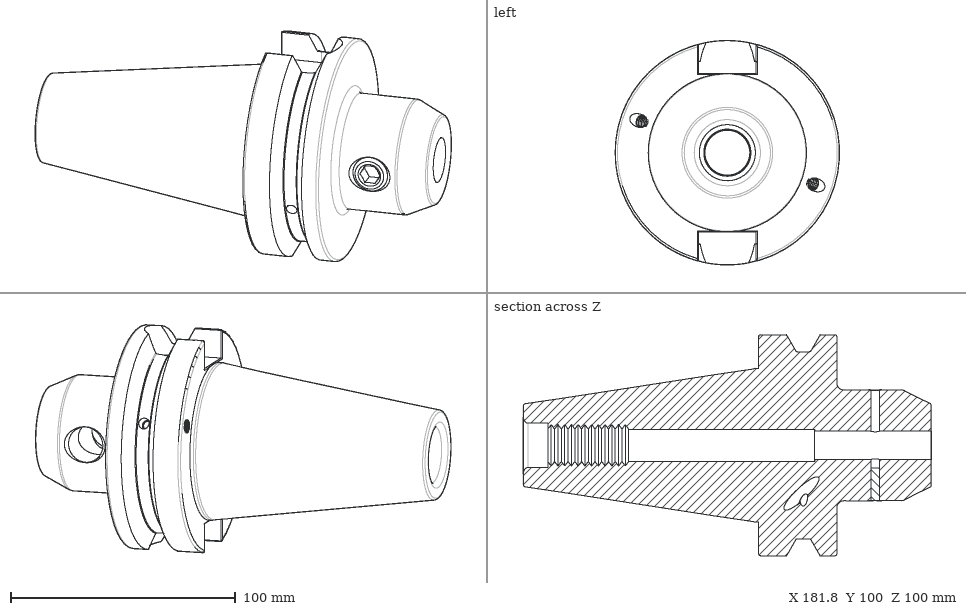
import cadquery as cq
import math


taper_length = 101.8
gauge_radius = 69.85 / 2
taper_ratio = 7 / 24
small_end_radius = gauge_radius - taper_length * taper_ratio / 2
shank_end = -taper_length
shank_edge_radius = 1.0
taper_overrun = 0.4
collar_start = 1.4
collar_radius = 35.25

flange_front = 3.0
flange_back = 38.0
flange_radius = 50.0
flange_edge_radius = 1.0
groove_floor_radius = 42.5
groove_centre = 23.0
groove_floor_width = 6.2
groove_corner_radius = 0.5
groove_wall_angle = math.radians(30)
groove_wall_run = (flange_radius - groove_floor_radius) * math.tan(groove_wall_angle)

slot_width = 25.7
slot_floor = 35.3
slot_end = 34.6
slot_chamfer = 0.5

nose_end = 80.0
nose_radius = 26.0
nose_root_radius = 3.0
nose_cone_start = 67.3
nose_cone_angle = math.radians(25)
nose_shoulder_blend = 2.3
nose_edge_radius = 1.0
nose_tip_radius = nose_radius - (nose_end - nose_cone_start) * math.tan(nose_cone_angle)

tool_bore_radius = 10.0
tool_bore_depth = 52.0
drawbar_bore_radius = 21.0 / 2
drawbar_thread_radius = 12.0
drawbar_thread_pitch = 3.0
drawbar_thread_turns = 12
counterbore_radius = 12.5
counterbore_depth = 11.0
counterbore_mouth_radius = 2.25

screw_x = nose_end - 25.0
screw_radius = 8.0
screw_tip_chamfer = 1.4
screw_hole_mouth_radius = 9.5
hex_across_flats = 8.0
hex_depth = 8.0
hex_mouth_radius = 5.2

coolant_angle = 20.0
coolant_pitch_radius = 42.0
inlet_radius = 2.9
inlet_slope_degrees = 45.0
inlet_slope = math.radians(inlet_slope_degrees)
inlet_smooth_length = 1.5
inlet_thread_minor_radius = 2.5
inlet_thread_pitch = 1.0
inlet_thread_turns = 8
port_radius = 2.4
port_depth = 6.0
port_passage_radius = 1.9
cut_overshoot = 1.0


def revolve_about_x(profile):
    return profile.close().revolve(360, (0, 0, 0), (1, 0, 0))


def x_band(start, end):
    """Selector for the edges whose centres lie between two X positions."""
    margin = 0.1
    reach = 2 * flange_radius
    return cq.selectors.BoxSelector((start - margin, -reach, -reach), (end + margin, reach, reach))


def bar_along(start, direction, radius, length):
    return cq.Workplane(cq.Solid.makeCylinder(radius, length, cq.Vector(*start), cq.Vector(*direction)))


def thread_grooves(minor_radius, major_radius, pitch, turns):
    """Cutter for an internal thread along +X from the origin, as a row of V-rings."""
    profile = cq.Workplane("XY").moveTo(0, 0).lineTo(0, minor_radius)
    for turn in range(turns):
        profile = profile.lineTo((turn + 0.5) * pitch, major_radius)
        profile = profile.lineTo((turn + 1) * pitch, minor_radius)
    return revolve_about_x(profile.lineTo(turns * pitch, 0))


def make_shank():
    turned = revolve_about_x(
        cq.Workplane("XY")
        .moveTo(shank_end, 0)
        .lineTo(shank_end, small_end_radius)
        .lineTo(taper_overrun, gauge_radius + taper_overrun * taper_ratio / 2)
        .lineTo(collar_start, collar_radius)
        .lineTo(flange_front, collar_radius)
        .lineTo(flange_front, 0)
    )
    return turned.faces("<X").edges().fillet(shank_edge_radius)


def make_flange():
    floor_start = groove_centre - groove_floor_width / 2
    floor_end = groove_centre + groove_floor_width / 2
    blank = revolve_about_x(
        cq.Workplane("XY")
        .moveTo(flange_front, 0)
        .lineTo(flange_front, flange_radius)
        .lineTo(floor_start - groove_wall_run, flange_radius)
        .lineTo(floor_start, groove_floor_radius)
        .lineTo(floor_end, groove_floor_radius)
        .lineTo(floor_end + groove_wall_run, flange_radius)
        .lineTo(flange_back, flange_radius)
        .lineTo(flange_back, 0)
    )
    blank = blank.faces("<X or >X").edges().fillet(flange_edge_radius)
    floor_corners = x_band(floor_start, floor_end)
    return blank.edges(floor_corners).fillet(groove_corner_radius)


def cut_drive_slot(body, turn):
    """Cut a round-ended slot, turned about X from +Z, with its front edges chamfered."""
    end_centre = slot_end - slot_width / 2
    slot = (
        cq.Workplane("XY", origin=(0, 0, slot_floor))
        .moveTo(flange_front, -slot_width / 2)
        .lineTo(end_centre, -slot_width / 2)
        .threePointArc((slot_end, 0), (end_centre, slot_width / 2))
        .lineTo(flange_front, slot_width / 2)
        .close()
        .extrude(flange_radius)
    )
    mouth = (
        cq.Workplane("YZ", origin=(flange_front, 0, slot_floor + flange_radius / 2))
        .rect(slot_width + 2 * slot_chamfer, flange_radius + 2 * slot_chamfer)
        .workplane(offset=slot_chamfer)
        .rect(slot_width, flange_radius)
        .loft(combine=True)
    )
    cutter = slot.union(mouth)
    rim_height = math.sqrt(flange_radius ** 2 - slot_width ** 2 / 4)
    rim_length = groove_centre - flange_front
    for side in (1, -1):
        bevel = (
            cq.Workplane("YZ", origin=(flange_front, side * slot_width / 2, rim_height))
            .polygon(4, 2 * slot_chamfer)
            .extrude(rim_length)
        )
        cutter = cutter.union(bevel)
    return body.cut(cutter.rotate((0, 0, 0), (1, 0, 0), turn))


def make_nose():
    turned = revolve_about_x(
        cq.Workplane("XY")
        .moveTo(flange_back, 0)
        .lineTo(flange_back, nose_radius)
        .lineTo(nose_cone_start, nose_radius)
        .lineTo(nose_end, nose_tip_radius)
        .lineTo(nose_end, 0)
    )
    shoulder = x_band(nose_cone_start, nose_cone_start)
    turned = turned.edges(shoulder).fillet(nose_shoulder_blend)
    return turned.faces(">X").edges().fillet(nose_edge_radius)


def make_bore():
    counterbore_end = shank_end + counterbore_depth
    tool_bore_start = nose_end - tool_bore_depth
    bore = revolve_about_x(
        cq.Workplane("XY")
        .moveTo(shank_end, 0)
        .lineTo(shank_end, counterbore_radius + counterbore_mouth_radius)
        .radiusArc((shank_end + counterbore_mouth_radius, counterbore_radius), -counterbore_mouth_radius)
        .lineTo(counterbore_end, counterbore_radius)
        .lineTo(counterbore_end, drawbar_bore_radius)
        .lineTo(tool_bore_start, drawbar_bore_radius)
        .lineTo(tool_bore_start, tool_bore_radius)
        .lineTo(nose_end, tool_bore_radius)
        .lineTo(nose_end, 0)
    )
    thread = thread_grooves(
        drawbar_bore_radius, drawbar_thread_radius, drawbar_thread_pitch, drawbar_thread_turns)
    return bore.union(thread.translate((counterbore_end, 0, 0)))


def make_screw_hole(side):
    hole = bar_along((screw_x, 0, 0), (0, side, 0), screw_radius, nose_radius)
    sink_depth = screw_hole_mouth_radius - screw_radius
    sink = cq.Workplane(cq.Solid.makeCone(
        screw_hole_mouth_radius, screw_radius, sink_depth,
        cq.Vector(screw_x, side * nose_radius, 0), cq.Vector(0, -side, 0)))
    return hole.union(sink)


def make_coolant_inlet():
    """Sloping hole from the flange face to the tool bore, threaded near its mouth."""
    lead = inlet_radius * math.tan(inlet_slope)
    length = coolant_pitch_radius / math.sin(inlet_slope)
    along = (1, 0, 0)
    mouth = bar_along((-lead, 0, 0), along, inlet_radius, lead + inlet_smooth_length)
    thread = thread_grooves(
        inlet_thread_minor_radius, inlet_radius, inlet_thread_pitch, inlet_thread_turns)
    passage = bar_along((0, 0, 0), along, inlet_thread_minor_radius, length)
    inlet = mouth.union(passage).union(thread.translate((inlet_smooth_length, 0, 0)))
    inlet = inlet.rotate((0, 0, 0), (0, 0, 1), -inlet_slope_degrees)
    return inlet.translate((flange_front, coolant_pitch_radius, 0))


def make_coolant_port():
    """Radial hole from the groove floor, stepping down to the passage that meets the inlet."""
    step_radius = groove_floor_radius - port_depth
    meeting_radius = coolant_pitch_radius - (groove_centre - flange_front) * math.tan(inlet_slope)
    outward = (0, 1, 0)
    mouth = bar_along((groove_centre, step_radius, 0), outward, port_radius, port_depth + cut_overshoot)
    passage = bar_along(
        (groove_centre, meeting_radius, 0), outward, port_passage_radius, step_radius - meeting_radius)
    return mouth.union(passage)


def make_screw():
    blank = bar_along((screw_x, -nose_radius, 0), (0, 1, 0), screw_radius, nose_radius - tool_bore_radius)
    blank = blank.faces("<Y").chamfer(screw_tip_chamfer)
    socket = (
        cq.Workplane("XZ", origin=(screw_x, -nose_radius, 0))
        .polygon(6, hex_across_flats / math.cos(math.pi / 6))
        .extrude(-hex_depth)
    )
    socket_mouth = cq.Workplane(cq.Solid.makeCone(
        hex_mouth_radius, 0, hex_mouth_radius, cq.Vector(screw_x, -nose_radius, 0), cq.Vector(0, 1, 0)))
    return blank.cut(socket).cut(socket_mouth)


holder = make_shank().union(make_flange()).union(make_nose())
holder = holder.edges(x_band(flange_back, flange_back)).edges(cq.selectors.RadiusNthSelector(0))
holder = holder.fillet(nose_root_radius)
holder = holder.cut(make_bore())
for turn in (0, 180):
    holder = cut_drive_slot(holder, turn)
for side in (1, -1):
    holder = holder.cut(make_screw_hole(side))
for turn in (coolant_angle, coolant_angle + 180):
    for passage in (make_coolant_inlet(), make_coolant_port()):
        holder = holder.cut(passage.rotate((0, 0, 0), (1, 0, 0), turn))
screw = make_screw()

result = cq.Compound.makeCompound([holder.val(), screw.val()])